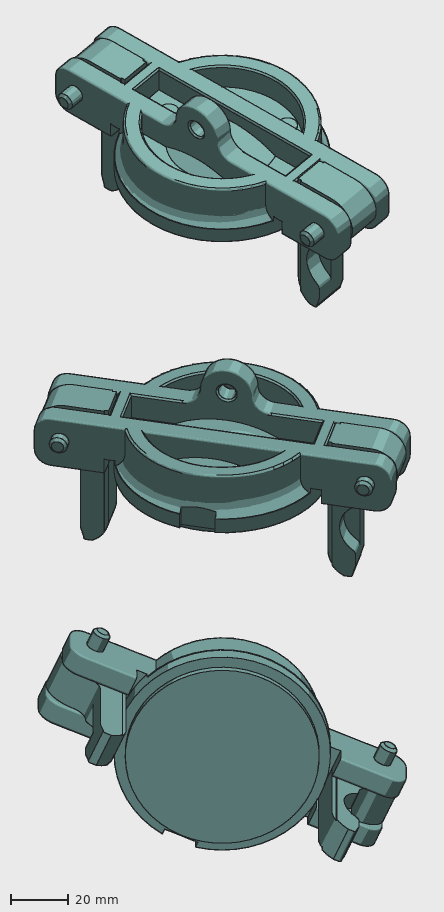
import cadquery as cq
import math

seal_diameter = 67.6
seal_thickness = 2.5
flange_radius = 37.7
flange_top = 8.2
waist_radius = 37.5
waist_top = 13.7
ring_radius = 34.5
housing_top = 24.3
opening_radius = 28.3
floor_top = 14.4
notch_width = 12.6
notch_y = 35.2
edge_round = 0.8

dome_radius = 19.7
dome_height = 5.2
stud_diameter = 7.1
stud_count = 3
stud_circle_radius = 24.2
stud_proud = 0.6

bar_end = 64.1
bar_half_width = 14.2
bar_bottom = 4.0
bar_end_radius = 6.2
slot_half_width = 6.6
center_slot_end = 34.1
lever_slot_end = 38.9
flange_slot_top = 10.2
rim_chamfer = 0.6

lug_radius = 9.5
lug_center_z = 30.8
lug_root_depth = 2.0
lug_hole_diameter = 6.3
lug_hole_chamfer = 0.6

pivot_x = 54.7
pivot_z = 15.5
pin_diameter = 6.5
pin_front_y = -20.7
pin_back_y = 17.9
pin_chamfer = 1.0

lever_half_width = 6.5
lever_head_radius = 9.7
lever_inner_x = 39.3
lever_outer_x = 49.3
lever_neck_radius = 4.8
lever_bottom = -31.0
lever_heel_z = -21.5
lever_tip_inner_x = 45.2
lever_taper_top = -25.9
lever_taper_bottom = -29.9
lever_taper_x = 48.2
lever_tip_outer_x = 47.3
lever_tip_bulge = 0.3
lever_relief_x = 1.5
lever_relief_y = 0.58
scallop_radius = 11.2
scallop_depth = 5.73
scallop_z = -10.3
scallop_round = 2.6

pick_margin = 0.1


def box(x_min, x_max, y_min, y_max, z_min, z_max):
    """Axis-aligned box between two corners."""
    size = (x_max - x_min, y_max - y_min, z_max - z_min)
    return cq.Workplane("XY").box(*size, centered=False).translate((x_min, y_min, z_min))


def cylinder(radius, z_min, z_max):
    """Cylinder on the Z axis."""
    return cq.Workplane("XY").workplane(offset=z_min).circle(radius).extrude(z_max - z_min)


def stud_points():
    """Stud centres, evenly spaced with one on the -X side."""
    angles = [math.pi + 2 * math.pi * i / stud_count for i in range(stud_count)]
    return [(stud_circle_radius * math.cos(a), stud_circle_radius * math.sin(a)) for a in angles]


def make_studs(z_max):
    """Studs rising from the top of the seal plate."""
    plane = cq.Workplane("XY").workplane(offset=seal_thickness)
    return plane.pushPoints(stud_points()).circle(stud_diameter / 2).extrude(z_max - seal_thickness)


def make_cover_body():
    """Solid flanged cover with a concave waist, tangent to the ring wall."""
    rise = waist_top - flange_top
    run = waist_radius - ring_radius
    waist_arc_radius = (rise ** 2 + run ** 2) / (2 * run)
    half_angle = math.asin(rise / waist_arc_radius) / 2
    waist_mid = (
        ring_radius + waist_arc_radius * (1 - math.cos(half_angle)),
        waist_top - waist_arc_radius * math.sin(half_angle),
    )
    cover = (
        cq.Workplane("XZ")
        .moveTo(0, seal_thickness)
        .lineTo(flange_radius, seal_thickness)
        .lineTo(flange_radius, flange_top)
        .lineTo(waist_radius, flange_top)
        .threePointArc(waist_mid, (ring_radius, waist_top))
        .lineTo(ring_radius, housing_top)
        .lineTo(0, housing_top)
        .close()
        .revolve(360, (0, 0, 0), (0, 1, 0))
    )
    return cover.faces(">Z").edges().fillet(edge_round)


def make_bar():
    """Cross bar with rounded, forked ends and a step clear of the flange."""
    bar = box(-bar_end, bar_end, -bar_half_width, bar_half_width, bar_bottom, housing_top)
    bar = bar.edges("|Y").fillet(bar_end_radius)
    for inner, outer in ((-lever_slot_end, -bar_end), (lever_slot_end, bar_end)):
        x_min, x_max = sorted((inner, outer))
        bar = bar.cut(box(x_min, x_max, -slot_half_width, slot_half_width, bar_bottom, housing_top))
    slot_corners = cq.selectors.BoxSelector(
        (-lever_slot_end - pick_margin, -bar_half_width, bar_bottom + 1.3),
        (lever_slot_end + pick_margin, bar_half_width, housing_top - 1.3),
    )
    rails = bar.faces("|Y").edges()
    bar = rails.edges(cq.selectors.InverseSelector(slot_corners)).fillet(edge_round)
    for side in (-1, 1):
        rim_top = (side * lever_slot_end, 0, housing_top)
        bar = bar.edges(cq.selectors.NearestToPointSelector(rim_top)).chamfer(rim_chamfer)
    step = box(-lever_slot_end, lever_slot_end, -bar_half_width, bar_half_width, bar_bottom, flange_slot_top)
    return bar.cut(step.cut(cylinder(flange_radius, bar_bottom, flange_slot_top)))


def make_openings():
    """Two D-shaped openings and the slot along the bar, all down to the floor."""
    round_opening = cylinder(opening_radius, floor_top, housing_top)
    rim = cq.Workplane("XY").workplane(offset=housing_top - rim_chamfer).circle(opening_radius)
    rim = rim.workplane(offset=rim_chamfer).circle(opening_radius + rim_chamfer).loft()
    bar = box(-bar_end, bar_end, -bar_half_width, bar_half_width, floor_top, housing_top)
    bar = bar.faces(">Z").edges("|X").fillet(edge_round)
    d_openings = round_opening.union(rim).cut(bar)
    return d_openings.union(slot_cutter(-center_slot_end, center_slot_end, floor_top))


def slot_cutter(x_min, x_max, z_min):
    """Rectangular slot with a chamfered rim at the housing top."""
    slot = box(x_min, x_max, -slot_half_width, slot_half_width, z_min, housing_top)
    center = (x_min + x_max) / 2
    flare = (
        cq.Workplane("XY")
        .workplane(offset=housing_top)
        .center(center, 0)
        .rect(x_max - x_min + 2 * rim_chamfer, 2 * (slot_half_width + rim_chamfer))
        .extrude(-rim_chamfer, taper=45)
    )
    return slot.union(flare)


def make_dome():
    """Shallow spherical dome on the floor."""
    sphere_radius = (dome_radius ** 2 + dome_height ** 2) / (2 * dome_height)
    sphere = cq.Workplane("XY").sphere(sphere_radius)
    sphere = sphere.translate((0, 0, floor_top + dome_height - sphere_radius))
    return sphere.intersect(cylinder(dome_radius, floor_top - 1.3, housing_top))


def make_lug():
    """Rounded lifting lug flared into the front rail of the bar."""
    flare_radius = lug_center_z - housing_top
    foot_x = lug_radius + flare_radius
    inset = flare_radius * math.sqrt(0.5)
    root_z = housing_top - lug_root_depth
    lug = (
        cq.Workplane("XZ", origin=(0, -slot_half_width, 0))
        .moveTo(-foot_x, root_z)
        .lineTo(-foot_x, housing_top)
        .threePointArc((-foot_x + inset, lug_center_z - inset), (-lug_radius, lug_center_z))
        .threePointArc((0, lug_center_z + lug_radius), (lug_radius, lug_center_z))
        .threePointArc((foot_x - inset, lug_center_z - inset), (foot_x, housing_top))
        .lineTo(foot_x, root_z)
        .close()
        .extrude(bar_half_width - slot_half_width)
    )
    outline = cq.selectors.BoxSelector(
        (-foot_x - 1.3, -bar_half_width - 1.3, housing_top - pick_margin),
        (foot_x + 1.3, 0, lug_center_z + lug_radius + 1.3),
    )
    lug = lug.faces("<Y or >Y").edges(outline).fillet(edge_round)
    hole = cq.Workplane("XZ").center(0, lug_center_z).circle(lug_hole_diameter / 2)
    lug = lug.cut(hole.extrude(bar_half_width))
    hole_half_size = lug_hole_diameter / 2 + pick_margin
    hole_rims = cq.selectors.BoxSelector(
        (-hole_half_size, -bar_half_width - pick_margin, lug_center_z - hole_half_size),
        (hole_half_size, -slot_half_width + pick_margin, lug_center_z + hole_half_size),
        boundingbox=True,
    )
    return lug.faces("<Y or >Y").edges(hole_rims).chamfer(lug_hole_chamfer)


def make_seal():
    """Seal plate under the cover, with studs that reach through the floor."""
    return cylinder(seal_diameter / 2, 0, seal_thickness).union(make_studs(floor_top + stud_proud))


def make_pin(x):
    """Chamfered pivot pin along Y."""
    pin = cq.Workplane("XZ", origin=(x, pin_back_y, pivot_z)).circle(pin_diameter / 2)
    return pin.extrude(pin_back_y - pin_front_y).faces("|Y").chamfer(pin_chamfer)


def make_housing(seal, pins):
    """Cover, bar, dome and lug in one piece, with the notch and the holes for studs and pins."""
    housing = make_cover_body().union(make_bar()).cut(make_openings())
    housing = housing.union(make_dome()).union(make_lug())
    housing = housing.cut(seal)
    notch = box(-notch_width / 2, notch_width / 2, notch_y, flange_radius + 1.3, 0, housing_top)
    housing = housing.cut(notch)
    for pin in pins:
        housing = housing.cut(pin)
    return housing


def lever_outline():
    """Side outline of the +X lever: round head, neck fillet and hooked tip."""
    head_top = pivot_z + lever_head_radius
    neck_center_x = lever_outer_x + lever_neck_radius
    reach = lever_head_radius + lever_neck_radius
    neck_z = pivot_z - math.sqrt(reach ** 2 - (pivot_x - neck_center_x) ** 2)
    neck_angle = math.atan2(pivot_z - neck_z, pivot_x - neck_center_x)
    head_end = (
        pivot_x - lever_head_radius * math.cos(neck_angle),
        pivot_z - lever_head_radius * math.sin(neck_angle),
    )
    neck_mid_angle = (neck_angle + math.pi) / 2
    neck_mid = (
        neck_center_x + lever_neck_radius * math.cos(neck_mid_angle),
        neck_z + lever_neck_radius * math.sin(neck_mid_angle),
    )
    tip_mid = (
        (lever_taper_x + lever_tip_outer_x) / 2 + lever_tip_bulge,
        (lever_taper_bottom + lever_bottom) / 2 - lever_tip_bulge,
    )
    heel_run = lever_tip_inner_x - lever_inner_x
    heel_rise = lever_heel_z - lever_bottom
    heel_radius = (heel_run ** 2 + heel_rise ** 2) / (2 * heel_run)
    heel_angle = math.asin(heel_rise / heel_radius) / 2
    heel_mid = (
        lever_inner_x + heel_radius * (1 - math.cos(heel_angle)),
        lever_heel_z - heel_radius * math.sin(heel_angle),
    )
    return (
        cq.Workplane("XZ", origin=(0, lever_half_width, 0))
        .moveTo(lever_inner_x, head_top)
        .lineTo(pivot_x, head_top)
        .threePointArc((pivot_x + lever_head_radius, pivot_z), head_end)
        .threePointArc(neck_mid, (lever_outer_x, neck_z))
        .lineTo(lever_outer_x, lever_taper_top)
        .lineTo(lever_taper_x, lever_taper_bottom)
        .threePointArc(tip_mid, (lever_tip_outer_x, lever_bottom))
        .lineTo(lever_tip_inner_x, lever_bottom)
        .threePointArc(heel_mid, (lever_inner_x, lever_heel_z))
        .close()
    )


def make_lever(turn):
    """Lever with a finger scallop, turned about Z to its end of the bar."""
    lever = lever_outline().extrude(2 * lever_half_width)
    scallop = (
        cq.Workplane("XZ", origin=(lever_outer_x - scallop_depth + scallop_radius, 0, scallop_z))
        .circle(scallop_radius)
        .extrude(lever_half_width)
    )
    reach = box(0, lever_outer_x, -lever_half_width, 0, lever_bottom, pivot_z)
    lever = lever.cut(scallop.intersect(reach))
    lips = cq.selectors.BoxSelector(
        (lever_outer_x - pick_margin, -lever_half_width, scallop_z - scallop_radius),
        (lever_outer_x + pick_margin, -pick_margin, scallop_z + scallop_radius),
    )
    lever = lever.edges("|Y").edges(lips).fillet(scallop_round)
    relief_end = lever_inner_x + lever_relief_x
    head_top = pivot_z + lever_head_radius
    for side in (-1, 1):
        y_min, y_max = sorted((side * lever_half_width, side * (lever_half_width - lever_relief_y)))
        lever = lever.cut(box(lever_inner_x, relief_end, y_min, y_max, lever_bottom, head_top))
    return lever.cut(make_pin(pivot_x)).rotate((0, 0, 0), (0, 0, 1), turn)


pins = [make_pin(x) for x in (-pivot_x, pivot_x)]
levers = [make_lever(turn) for turn in (0, 180)]
seal = make_seal()
housing = make_housing(seal, pins)

result = cq.Compound.makeCompound([housing.val(), seal.val(), *[body.val() for body in levers + pins]])